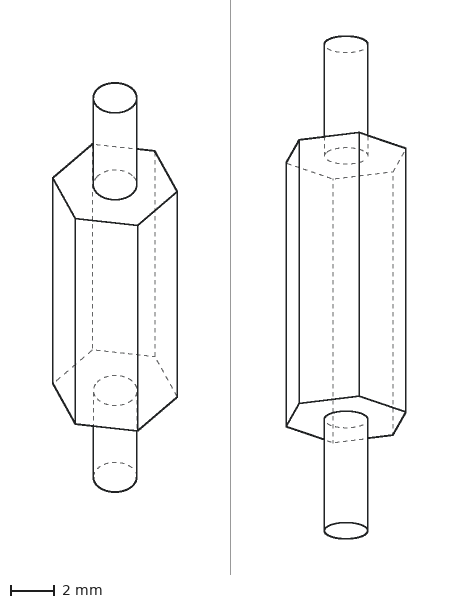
import cadquery as cq
import math

total_length = 24.0
pin_length = 5.5
pin_diameter = 2.0
across_flats = 5.0

hex_length = total_length - 2 * pin_length
across_corners = across_flats / math.cos(math.radians(30))

pin = cq.Workplane("XY").circle(pin_diameter / 2).extrude(total_length)

hex_body = (
    cq.Workplane("XY")
    .polygon(6, across_corners)
    .extrude(hex_length)
    .rotate((0, 0, 0), (0, 0, 1), 90)
    .translate((0, 0, pin_length))
)

result = pin.union(hex_body)